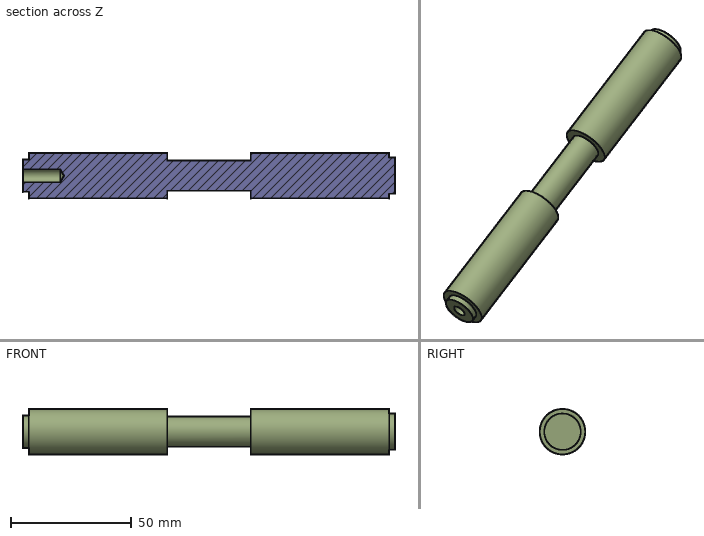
import cadquery as cq
import math

total_length = 154.6
sleeve_diameter = 19.0
sleeve_length = 57.5
shaft_diameter = 12.7
left_collar_diameter = 13.6
right_collar_diameter = 15.1
collar_length = 2.5
bore_diameter = 5.3
bore_depth = 15.5
drill_tip_angle = 118.0

left_end = -total_length / 2
right_end = total_length / 2


def cylinder(start, length, diameter):
    """Cylinder along +X whose first face is at x = start."""
    return cq.Workplane("YZ", origin=(start, 0, 0)).circle(diameter / 2).extrude(length)


result = cylinder(left_end, total_length, shaft_diameter)

for sleeve_start in (left_end + collar_length, right_end - collar_length - sleeve_length):
    result = result.union(cylinder(sleeve_start, sleeve_length, sleeve_diameter))

result = result.union(cylinder(left_end, collar_length, left_collar_diameter))
result = result.union(cylinder(right_end - collar_length, collar_length, right_collar_diameter))

bore_radius = bore_diameter / 2
tip_depth = bore_radius / math.tan(math.radians(drill_tip_angle / 2))
bore_bottom = left_end + bore_depth
bore = (
    cq.Workplane("XY")
    .moveTo(left_end, 0)
    .lineTo(left_end, bore_radius)
    .lineTo(bore_bottom, bore_radius)
    .lineTo(bore_bottom + tip_depth, 0)
    .close()
    .revolve(360, (0, 0, 0), (1, 0, 0))
)
result = result.cut(bore)